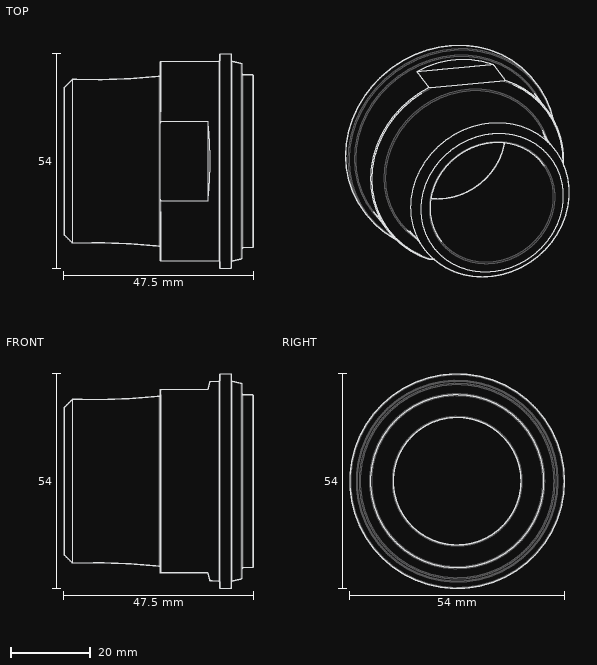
import cadquery as cq
import math

total_length = 47.5
edge_round = 0.25
bore_radius = 32.0 / 2
bore_round = 0.3

tip_chamfer = 2.1
neck_tip_radius = 20.65
neck_waist_radius = 20.65
neck_root_radius = 21.4
neck_root_round = 0.3
shoulder_x = 24.1

body_radius = 25.1
flange_start_x = 39.05
flange_end_x = 42.05
flange_radius = 27.0
collar_end_x = 44.7
collar_end_radius = 24.55
spigot_radius = 43.5 / 2

flat_height = 23.05
flat_end_x = 36.05
flat_end_slope = 15.0


def rounded_corner(profile, corner, incoming, outgoing):
    """Draw to a corner and blend it with an arc tangent to both unit directions."""
    x, r = corner
    start = (x - incoming[0] * edge_round, r - incoming[1] * edge_round)
    end = (x + outgoing[0] * edge_round, r + outgoing[1] * edge_round)
    return profile.lineTo(*start).tangentArcPoint(end, relative=False)


def make_turned_sleeve():
    right, up, down = (1, 0), (0, 1), (0, -1)
    taper_run = collar_end_x - flange_end_x - edge_round
    taper_rise = collar_end_radius - body_radius
    taper_length = math.hypot(taper_run, taper_rise)
    taper = (taper_run / taper_length, taper_rise / taper_length)

    neck_end_x = shoulder_x - neck_root_round
    neck_middle_x = (tip_chamfer + neck_end_x) / 2
    root_offset = neck_root_round * math.sqrt(0.5)
    root_middle = (
        neck_end_x + root_offset,
        neck_root_radius + neck_root_round - root_offset,
    )

    profile = cq.Workplane("XY").moveTo(0, bore_radius)
    profile = profile.lineTo(0, neck_tip_radius - tip_chamfer)
    profile = profile.lineTo(tip_chamfer, neck_tip_radius)
    profile = profile.threePointArc((neck_middle_x, neck_waist_radius), (neck_end_x, neck_root_radius))
    profile = profile.threePointArc(root_middle, (shoulder_x, neck_root_radius + neck_root_round))
    profile = rounded_corner(profile, (shoulder_x, body_radius), up, right)
    profile = rounded_corner(profile, (flange_start_x, body_radius), right, up)
    profile = rounded_corner(profile, (flange_start_x, flange_radius), up, right)
    profile = rounded_corner(profile, (flange_end_x, flange_radius), right, down)
    profile = rounded_corner(profile, (flange_end_x, body_radius), down, right)
    profile = rounded_corner(profile, (collar_end_x, collar_end_radius), taper, down)
    profile = rounded_corner(profile, (collar_end_x, spigot_radius), down, right)
    profile = rounded_corner(profile, (total_length, spigot_radius), right, down)
    profile = profile.lineTo(total_length, bore_radius).close()
    sleeve = profile.revolve(360, (0, 0, 0), (1, 0, 0))

    mouth_box = cq.selectors.BoxSelector(
        (-0.55, -bore_radius - 0.55, -bore_radius - 0.55),
        (total_length + 0.55, bore_radius + 0.55, bore_radius + 0.55),
        boundingbox=True,
    )
    return sleeve.edges("%CIRCLE").edges(mouth_box).fillet(bore_round)


def make_flat_cutter():
    """Wedge-ended block that leaves the upper wrench flat."""
    top = flange_radius
    slope_run = (top - flat_height) * math.tan(math.radians(flat_end_slope))
    return (
        cq.Workplane("XZ")
        .moveTo(shoulder_x, flat_height)
        .lineTo(flat_end_x, flat_height)
        .lineTo(flat_end_x + slope_run, top)
        .lineTo(shoulder_x, top)
        .close()
        .extrude(body_radius, both=True)
    )


upper_cutter = make_flat_cutter()
lower_cutter = upper_cutter.mirror("XY")
result = make_turned_sleeve().cut(upper_cutter).cut(lower_cutter)